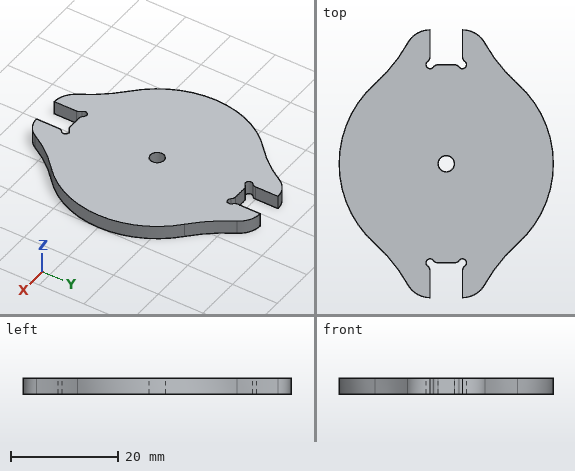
import cadquery as cq
import math

thickness = 3.0
length = 50.0
disc_radius = 20.0
bore_diameter = 3.0
lobe_radius = 4.8
neck_radius = 30.0
slot_width = 6.0
slot_floor_y = 18.5
relief_radius = 0.75
relief_blend_reach = 1.5

half_slot = slot_width / 2
tip_y = length / 2


def point_toward(start, end, distance):
    """Point at a given distance from start on the line to end."""
    fraction = distance / math.dist(start, end)
    return (start[0] + fraction * (end[0] - start[0]), start[1] + fraction * (end[1] - start[1]))


def quarter_outline():
    """Quarter plate without its slot, in the +X +Y quadrant."""
    origin = (0.0, 0.0)
    lobe_center = (half_slot, tip_y - lobe_radius)

    to_lobe = math.hypot(*lobe_center)
    to_neck = disc_radius + neck_radius
    lobe_to_neck = lobe_radius + neck_radius
    cos_between = (to_neck**2 + to_lobe**2 - lobe_to_neck**2) / (2 * to_neck * to_lobe)
    neck_angle = math.atan2(lobe_center[1], lobe_center[0]) - math.acos(cos_between)
    neck_center = (to_neck * math.cos(neck_angle), to_neck * math.sin(neck_angle))

    disc_end = point_toward(origin, neck_center, disc_radius)
    disc_mid = (disc_radius * math.cos(neck_angle / 2), disc_radius * math.sin(neck_angle / 2))
    lobe_start = point_toward(lobe_center, neck_center, lobe_radius)
    neck_chord_mid = ((disc_end[0] + lobe_start[0]) / 2, (disc_end[1] + lobe_start[1]) / 2)
    neck_mid = point_toward(neck_center, neck_chord_mid, neck_radius)
    lobe_tip = (half_slot, tip_y)
    lobe_chord_mid = ((lobe_start[0] + lobe_tip[0]) / 2, (lobe_start[1] + lobe_tip[1]) / 2)
    lobe_mid = point_toward(lobe_center, lobe_chord_mid, lobe_radius)

    return (
        cq.Workplane("XY")
        .lineTo(disc_radius, 0)
        .threePointArc(disc_mid, disc_end)
        .threePointArc(neck_mid, lobe_start)
        .threePointArc(lobe_mid, lobe_tip)
        .lineTo(0, tip_y)
        .close()
        .extrude(thickness)
    )


def half_slot_cutter():
    """+X half of the +Y slot, with its blended corner relief."""
    corner = (half_slot, slot_floor_y)
    blend_radius = (relief_blend_reach**2 - relief_radius**2) / (2 * relief_radius)
    floor_blend_center = (half_slot - relief_blend_reach, slot_floor_y - blend_radius)
    wall_blend_center = (half_slot + blend_radius, slot_floor_y + relief_blend_reach)
    floor_blend_start = (floor_blend_center[0], slot_floor_y)
    wall_blend_end = (half_slot, wall_blend_center[1])

    relief_start = point_toward(corner, floor_blend_center, relief_radius)
    relief_end = point_toward(corner, wall_blend_center, relief_radius)
    diagonal = relief_radius / math.sqrt(2)
    relief_mid = (corner[0] + diagonal, corner[1] - diagonal)

    floor_chord_mid = (
        (floor_blend_start[0] + relief_start[0]) / 2,
        (floor_blend_start[1] + relief_start[1]) / 2,
    )
    wall_chord_mid = (
        (relief_end[0] + wall_blend_end[0]) / 2,
        (relief_end[1] + wall_blend_end[1]) / 2,
    )
    return (
        cq.Workplane("XY")
        .moveTo(0, slot_floor_y)
        .lineTo(*floor_blend_start)
        .threePointArc(point_toward(floor_blend_center, floor_chord_mid, blend_radius), relief_start)
        .threePointArc(relief_mid, relief_end)
        .threePointArc(point_toward(wall_blend_center, wall_chord_mid, blend_radius), wall_blend_end)
        .lineTo(half_slot, tip_y)
        .lineTo(0, tip_y)
        .close()
        .extrude(thickness)
    )


quarter = quarter_outline().cut(half_slot_cutter())
half = quarter.union(quarter.mirror("YZ"))
plate = half.union(half.mirror("XZ")).clean()
bore = cq.Workplane("XY").circle(bore_diameter / 2).extrude(thickness)
result = plate.cut(bore)